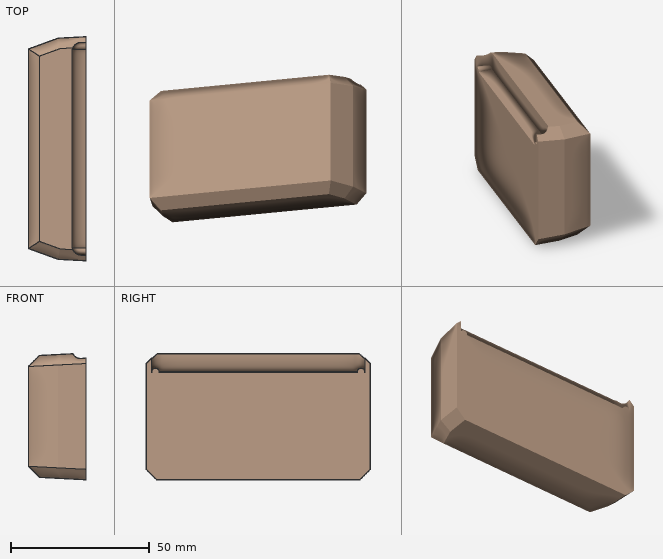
import math

import cadquery as cq

depth = 20.83
rear_half_width = 80.77 / 2
rear_half_height = 22.86
draft_angle = 3.0
front_taper_angle = 20.0
taper_depth = 10.75
corner_bevel = 3.81
front_bevel_angle = 45.0

recess_start = 15.7
recess_half_length = 38.35
recess_rear_depth = 7.0
recess_floor_angle = 3.0
recess_corner_radius = 3.5

rib_radius = 1.35
rib_center_y = recess_half_length - rib_radius

draft_slope = math.tan(math.radians(draft_angle))
front_taper_slope = math.tan(math.radians(front_taper_angle))
front_bevel_slope = math.tan(math.radians(front_bevel_angle))

front_half_height = rear_half_height - depth * draft_slope
taper_half_width = rear_half_width - (depth - taper_depth) * draft_slope
front_half_width = taper_half_width - taper_depth * front_taper_slope

recess_floor_drop = (depth - recess_start) * math.tan(math.radians(recess_floor_angle))
recess_rear_floor = rear_half_height - recess_rear_depth
recess_front_floor = recess_rear_floor + recess_floor_drop
rib_center_z = (recess_front_floor + recess_rear_floor) / 2


def mirrored_outline(half_outline):
    """Close an outline about the X axis from its (x, offset) points."""
    return half_outline + [(x, -offset) for x, offset in reversed(half_outline)]


def drafted_block():
    """Block with tapered end walls, top and bottom, and bevelled long edges."""
    plan = mirrored_outline([
        (0, front_half_width),
        (taper_depth, taper_half_width),
        (depth, rear_half_width),
    ])
    elevation = mirrored_outline([(0, front_half_height), (depth, rear_half_height)])
    plan_prism = cq.Workplane("XY").polyline(plan).close().extrude(rear_half_height, both=True)
    elevation_prism = cq.Workplane("XZ").polyline(elevation).close().extrude(rear_half_width, both=True)
    block = plan_prism.intersect(elevation_prism)

    long_edges = block.edges("not (|Y or |Z)")
    return long_edges.chamfer(corner_bevel)


def front_bevel_prism():
    """Prism whose sloping sides trim the top and bottom of the front face."""
    front_z = front_half_height - corner_bevel
    rear_z = front_z + depth * front_bevel_slope
    elevation = mirrored_outline([(0, front_z), (depth, rear_z)])
    return cq.Workplane("XZ").polyline(elevation).close().extrude(rear_half_width, both=True)


def recess():
    """Recess volume with a sloping floor and two rounded vertical corners."""
    elevation = [
        (recess_start, recess_front_floor),
        (depth, recess_rear_floor),
        (depth, rear_half_height),
        (recess_start, rear_half_height),
    ]
    volume = cq.Workplane("XZ").polyline(elevation).close().extrude(recess_half_length, both=True)
    return volume.edges("|Z and <X").fillet(recess_corner_radius)


def rib(side):
    """Round bar about half sunk in the recess floor; side is +1 or -1 along Y."""
    start = cq.Workplane("YZ", origin=(recess_start, side * rib_center_y, rib_center_z))
    return start.circle(rib_radius).extrude(depth - recess_start)


result = drafted_block().intersect(front_bevel_prism()).cut(recess())
for end in (1, -1):
    result = result.union(rib(end))